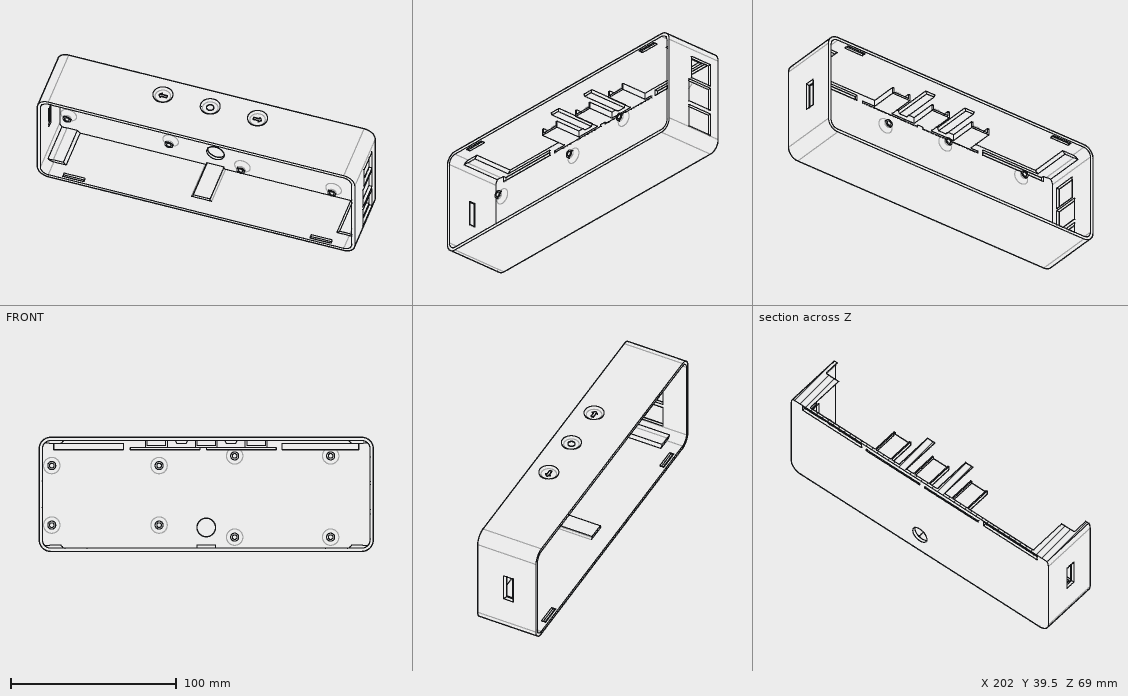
import cadquery as cq
import math

length = 202.0
depth = 39.5
height = 69.0
wall = 2.0
corner_radius = 7.0

inner_length = length - 2 * wall
inner_height = height - 2 * wall
back_face = depth / 2 - wall
ceiling = height / 2 - wall
inner_side = length / 2 - wall
overlap = 0.5

pad_height = 1.8
pad_front = -9.0
pad_length = back_face + overlap - pad_front
corner_pad_start = 86.0
corner_pad_flat_end = 94.3
corner_pad_end = 98.8
corner_pad_root_end = 97.4
trough_depth = 0.3
trough_rise = 0.2
middle_pad_half_width = 5.5
middle_pad_fillet = 1.0
rib_centre = 15.0
rib_half_width = 3.6
rib_slope = 0.8

boss_radius = 2.5
boss_flare = 2.52
boss_height = 3.6
boss_hole_radius = 1.5
left_bosses = [(x, z) for x in (-93.3, -28.5) for z in (-18.5, 17.4)]
right_bosses = [(x, z) for x in (17.2, 75.1) for z in (-25.9, 23.2)]

vent_bottom = 27.0
tall_vent_top = 30.7
low_vent_top = 28.3
vents = [
    (-92.1, -50.0, tall_vent_top),
    (-45.9, -3.8, low_vent_top),
    (0.2, 42.2, low_vent_top),
    (45.9, 92.1, tall_vent_top),
]
cable_hole_radius = 5.55
cable_hole_z = -20.0

button_pitch = 30.0
button_y = 7.7
dish_radius = 6.0
dish_depth = 1.5
dish_fillet = 1.37
symbol_height = 0.5
dot_radius = 2.2
arrow_half_length = 2.6
arrow_head_length = 1.6
arrow_half_width = 1.8
arrow_shaft_half_width = 0.8

holder_width = 13.1
holder_wall = 1.0
holder_floor = 1.2
holder_bottom = 28.3
holder_front = 0.0

card_slot_y = -1.2
card_slot_width = 4.2
card_slot_height = 16.2
card_slot_chamfer = 1.2

window_back = 13.5
windows = [
    (-3.8, -26.9, -12.0),
    (-3.8, -9.3, 6.0),
    (-1.6, 7.7, 22.6),
]

groove_start = 72.0
groove_end = 85.2
groove_front = -18.4
groove_back = -15.5
groove_depth = 0.8


def block(x0, x1, y0, y1, z0, z1):
    """Axis-aligned box between two corners."""
    return cq.Workplane("XY").box(x1 - x0, y1 - y0, z1 - z0, centered=False).translate((x0, y0, z0))


def rounded_bar(x_size, z_size, radius, y0, y1):
    """Bar along Y with rounded long edges."""
    bar = block(-x_size / 2, x_size / 2, y0, y1, -z_size / 2, z_size / 2)
    return bar.edges("|Y").fillet(radius)


def pad_outline():
    """Sketch on the plane from which pads run towards the open front."""
    return cq.Workplane("XZ", origin=(0, back_face + overlap, 0))


def rib(centre):
    """Narrow pad on the top wall with both long sides sloped."""
    under = ceiling - pad_height
    outline = pad_outline().polyline([
        (centre - rib_half_width, ceiling + overlap),
        (centre - rib_half_width, ceiling),
        (centre - rib_half_width + rib_slope, under),
        (centre + rib_half_width - rib_slope, under),
        (centre + rib_half_width, ceiling),
        (centre + rib_half_width, ceiling + overlap),
    ])
    return outline.close().extrude(pad_length)


def middle_pad():
    """Pad at the middle of the bottom wall, filleted into the wall along both sides."""
    half_foot = middle_pad_half_width + middle_pad_fillet
    floor = -ceiling
    shoulder = floor + middle_pad_fillet
    top = floor + pad_height
    arc_inset = middle_pad_fillet * (1 - math.sqrt(0.5))
    arc_x = middle_pad_half_width + arc_inset
    arc_z = floor + arc_inset
    outline = (
        pad_outline()
        .moveTo(-half_foot, floor - overlap)
        .lineTo(-half_foot, floor)
        .threePointArc((-arc_x, arc_z), (-middle_pad_half_width, shoulder))
        .lineTo(-middle_pad_half_width, top)
        .lineTo(middle_pad_half_width, top)
        .lineTo(middle_pad_half_width, shoulder)
        .threePointArc((arc_x, arc_z), (half_foot, floor))
        .lineTo(half_foot, floor - overlap)
        .close()
    )
    return outline.extrude(pad_length)


def corner_pad():
    """Pad in the top right corner: a 45 degree slope, a flat, then a shallow trough to the end wall."""
    under = ceiling - pad_height
    trough_middle = (corner_pad_flat_end + corner_pad_end) / 2
    outline = (
        pad_outline()
        .moveTo(corner_pad_start, ceiling + overlap)
        .lineTo(corner_pad_start, ceiling)
        .lineTo(corner_pad_start + pad_height, under)
        .lineTo(corner_pad_flat_end, under)
        .threePointArc((trough_middle, under + trough_depth), (corner_pad_end, under - trough_rise))
        .lineTo(corner_pad_root_end, ceiling + overlap)
        .close()
    )
    return outline.extrude(pad_length)


def boss(x, z):
    """Round boss that flares into the back wall."""
    flare_mid = boss_flare * (1 - math.sqrt(0.5))
    profile = (
        cq.Workplane("XY")
        .moveTo(0, -overlap)
        .lineTo(boss_radius + boss_flare, -overlap)
        .lineTo(boss_radius + boss_flare, 0)
        .threePointArc((boss_radius + flare_mid, flare_mid), (boss_radius, boss_flare))
        .lineTo(boss_radius, boss_height)
        .lineTo(0, boss_height)
        .close()
    )
    upright = profile.revolve(360, (0, 0, 0), (0, 1, 0))
    return upright.rotate((0, 0, 0), (0, 0, 1), 180).translate((x, back_face, z))


def boss_hole(x, z):
    """Blind screw hole, as deep as the boss is high."""
    start = (x, back_face, z)
    return cq.Workplane("XZ", origin=start).circle(boss_hole_radius).extrude(boss_height)


def sensor_holder(x):
    """U-shaped holder under a button, open towards the front."""
    half = holder_width / 2
    outside = block(x - half, x + half, holder_front, back_face + overlap, holder_bottom, ceiling + overlap)
    half_pocket = half - holder_wall
    pocket = block(
        x - half_pocket, x + half_pocket, holder_front, back_face, holder_bottom + holder_floor, ceiling
    )
    return outside.cut(pocket)


def dish(x):
    """Round finger recess with a rounded floor edge."""
    floor = cq.Workplane("XY", origin=(x, button_y, height / 2 - dish_depth))
    return floor.circle(dish_radius).extrude(dish_depth).faces("<Z").edges().fillet(dish_fillet)


def symbol_plane(x):
    """Sketch on the floor of a button recess."""
    return cq.Workplane("XY", origin=(x, button_y, height / 2 - dish_depth))


def arrow(x, direction):
    """Raised arrow pointing along X; direction is 1 or -1."""
    tip = direction * arrow_half_length
    neck = direction * (arrow_half_length - arrow_head_length)
    outline = symbol_plane(x).polyline([
        (tip, 0),
        (neck, arrow_half_width),
        (neck, arrow_shaft_half_width),
        (-tip, arrow_shaft_half_width),
        (-tip, -arrow_shaft_half_width),
        (neck, -arrow_shaft_half_width),
        (neck, -arrow_half_width),
    ])
    return outline.close().extrude(symbol_height)


def card_slot():
    """Slot through the left end wall, widened by a chamfer on the outside."""
    opening = cq.Workplane("YZ", origin=(-length / 2, card_slot_y, 0))
    through = opening.rect(card_slot_width, card_slot_height).extrude(wall)
    flare = (
        opening.rect(card_slot_width + 2 * card_slot_chamfer, card_slot_height + 2 * card_slot_chamfer)
        .workplane(offset=card_slot_chamfer)
        .rect(card_slot_width, card_slot_height)
        .loft()
    )
    return through.union(flare)


def snap_groove():
    """Groove with sloped sides in the top wall, on the right."""
    profile = cq.Workplane("YZ", origin=(groove_start, 0, 0)).polyline([
        (groove_front, ceiling),
        (groove_front + groove_depth, ceiling + groove_depth),
        (groove_back - groove_depth, ceiling + groove_depth),
        (groove_back, ceiling),
    ])
    return profile.close().extrude(groove_end - groove_start)


shell = rounded_bar(length, height, corner_radius, -depth / 2, depth / 2)
cavity = rounded_bar(inner_length, inner_height, corner_radius - wall, -depth / 2, back_face)
result = shell.cut(cavity)

right_pads = corner_pad().union(corner_pad().mirror("XY"))
result = result.union(right_pads).union(right_pads.mirror("YZ"))
result = result.union(middle_pad())
for side in (-1, 1):
    result = result.union(rib(side * rib_centre))

button_positions = [-button_pitch, 0, button_pitch]
for x in button_positions:
    result = result.union(sensor_holder(x)).cut(dish(x))
result = result.union(arrow(-button_pitch, -1)).union(arrow(button_pitch, 1))
result = result.union(symbol_plane(0).circle(dot_radius).extrude(symbol_height))

for x, z in left_bosses + right_bosses:
    result = result.union(boss(x, z)).cut(boss_hole(x, z))

for x0, x1, top in vents:
    result = result.cut(block(x0, x1, back_face - boss_height, depth / 2, vent_bottom, top))
cable_hole = cq.Workplane("XZ", origin=(0, depth / 2, cable_hole_z)).circle(cable_hole_radius).extrude(wall)
result = result.cut(cable_hole)

result = result.cut(card_slot())
for front, bottom, top in windows:
    result = result.cut(block(inner_side, length / 2, front, window_back, bottom, top))

right_grooves = snap_groove().union(snap_groove().mirror("XY"))
result = result.cut(right_grooves).cut(right_grooves.mirror("YZ"))